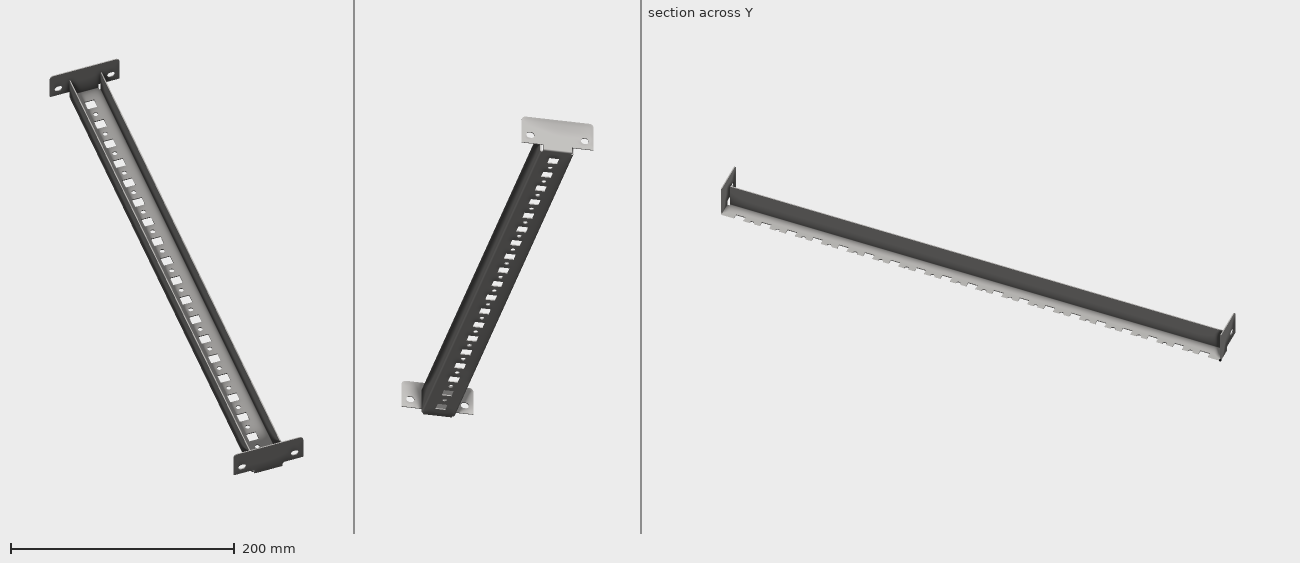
import cadquery as cq

length = 485.0
plate_width = 66.0
plate_top = 32.5
sheet = 1.0

channel_width = 30.5
flange_top = 23.5
inner_bend_radius = 0.5
outer_bend_radius = inner_bend_radius + sheet

flange_setback = 3.15
neck_width = 26.0
plate_bottom = 6.0
plate_corner_radius = 4.0
slot_length = 7.5
slot_height = 6.0
slot_spacing = 50.0
slot_level = 14.0

square_count = 19
square_row_length = 450.0
hole_pitch = square_row_length / (square_count - 1)
square_side = 9.0
round_diameter = 4.5
hole_cut_height = 3 * sheet


def folded_sheet(plane, width, height, depth):
    """U-shaped folded strip with its web on Z = 0, extruded both ways from the plane."""
    half_width = width / 2
    half_inside = half_width - sheet
    bend_level = outer_bend_radius
    bend_offset = half_width - outer_bend_radius
    return (
        cq.Workplane(plane)
        .moveTo(-half_width, height)
        .lineTo(-half_width, bend_level)
        .radiusArc((-bend_offset, 0), -outer_bend_radius)
        .lineTo(bend_offset, 0)
        .radiusArc((half_width, bend_level), -outer_bend_radius)
        .lineTo(half_width, height)
        .lineTo(half_inside, height)
        .lineTo(half_inside, bend_level)
        .radiusArc((bend_offset, sheet), inner_bend_radius)
        .lineTo(-bend_offset, sheet)
        .radiusArc((-half_inside, bend_level), inner_bend_radius)
        .lineTo(-half_inside, height)
        .close()
        .extrude(depth / 2, both=True)
    )


def channel():
    return folded_sheet("YZ", channel_width, flange_top, length - 2 * flange_setback)


def plate_strip():
    """Neck and end plates: a full-length strip folded up at both ends."""
    strip = folded_sheet("XZ", length, plate_top, plate_width)
    plate_outline = (
        cq.Workplane("YZ")
        .rect(plate_width, plate_top - plate_bottom)
        .extrude(length, both=True)
        .translate((0, 0, (plate_top + plate_bottom) / 2))
        .edges("|X and >Z")
        .fillet(plate_corner_radius)
    )
    neck_outline = cq.Workplane("XY").box(
        length, neck_width, plate_top, centered=(True, True, False)
    )
    slots = (
        cq.Workplane("YZ")
        .pushPoints([(side * slot_spacing / 2, slot_level) for side in (-1, 1)])
        .slot2D(slot_length, slot_height)
        .extrude(length, both=True)
    )
    return strip.intersect(plate_outline.union(neck_outline)).cut(slots)


def web_holes():
    """Square holes along the web with a round hole between neighbours."""
    row_start = -square_row_length / 2
    square_places = [(row_start + i * hole_pitch, 0) for i in range(square_count)]
    round_places = [(x + hole_pitch / 2, 0) for x, _ in square_places[:-1]]
    base = cq.Workplane("XY").workplane(offset=-sheet)
    squares = base.pushPoints(square_places).rect(square_side, square_side).extrude(hole_cut_height)
    rounds = base.pushPoints(round_places).circle(round_diameter / 2).extrude(hole_cut_height)
    return squares.union(rounds)


result = channel().union(plate_strip()).cut(web_holes())